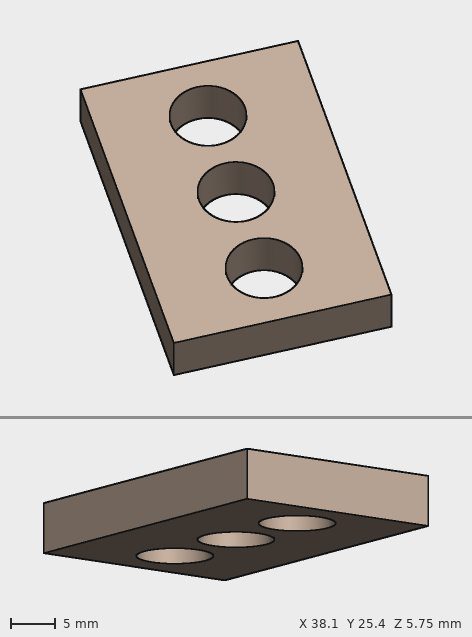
import cadquery as cq

length = 38.1
width = 25.4
thickness = 5.75

hole_diameter = 8.65
hole_pitch = 11.43
hole_count = 3

plate = cq.Workplane("XY").box(length, width, thickness)

result = (
    plate.faces(">Z")
    .workplane()
    .rarray(hole_pitch, 0.4, hole_count, 1)
    .hole(hole_diameter)
)